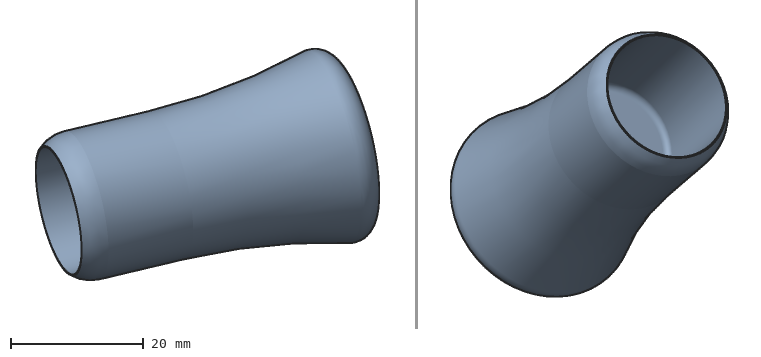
import cadquery as cq
import math

length = 47.0
head_radius = 15.0
shank_radius = 11.5
head_round = 3.0

lip_radius = 10.05
nose_length = 3.75
flare_start = 17.4

socket_radius = 9.85
socket_depth = 20.0
socket_floor_round = 1.0

nose_drop = shank_radius - lip_radius
nose_arc_radius = (nose_length**2 + nose_drop**2) / (2 * nose_drop)
nose_mid_angle = math.asin(nose_length / nose_arc_radius) / 2
nose_mid = (
    shank_radius - nose_arc_radius * (1 - math.cos(nose_mid_angle)),
    nose_length - nose_arc_radius * math.sin(nose_mid_angle),
)

round_x = head_radius - head_round
round_y = length - head_round
round_offset = round_x - shank_radius
flare_rise = round_y - flare_start
flare_radius = (flare_rise**2 + round_offset**2 - head_round**2) / (2 * (head_round + round_offset))
flare_angle = math.asin(flare_rise / (flare_radius + head_round))


def flare_point(angle):
    """Point on the flare arc, with the angle measured from its start."""
    return (
        shank_radius + flare_radius * (1 - math.cos(angle)),
        flare_start + flare_radius * math.sin(angle),
    )


def make_body():
    """Solid of revolution bounded by the outer outline."""
    round_mid_angle = (math.pi / 2 - flare_angle) / 2
    round_mid = (
        round_x + head_round * math.cos(round_mid_angle),
        round_y + head_round * math.sin(round_mid_angle),
    )
    outline = (
        cq.Workplane("XY")
        .lineTo(lip_radius, 0)
        .threePointArc(nose_mid, (shank_radius, nose_length))
        .lineTo(shank_radius, flare_start)
        .threePointArc(flare_point(flare_angle / 2), flare_point(flare_angle))
        .threePointArc(round_mid, (round_x, length))
        .lineTo(0, length)
        .close()
    )
    return outline.revolve(360, (0, 0, 0), (0, 1, 0))


def make_socket():
    """Cylinder that hollows the narrow end, rounded at its floor."""
    cylinder = cq.Workplane("XZ").circle(socket_radius).extrude(-socket_depth)
    return cylinder.faces(">Y").edges().fillet(socket_floor_round)


result = make_body().cut(make_socket())